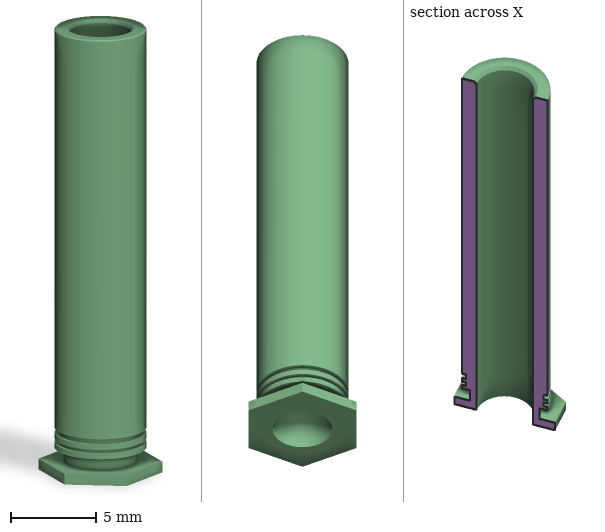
import cadquery as cq
import math

total_height = 27.0
hex_across_flats = 6.35
hex_thickness = 0.65

body_diameter = 5.4
groove_diameter = 4.89
neck_diameter = 4.37
bore_diameter = 3.5

lower_ring_bottom = 1.45
ring_thickness = 0.32
lower_groove_width = 0.25
upper_groove_width = 0.32

mouth_chamfer = 0.2
rim_chamfer = 0.067


def cylinder(diameter, bottom, top):
    """Solid cylinder on the Z axis between two heights."""
    return cq.Workplane("XY").workplane(offset=bottom).circle(diameter / 2).extrude(top - bottom)


hex_across_corners = hex_across_flats / math.cos(math.pi / 6)
head = cq.Workplane("XY").polygon(6, hex_across_corners).extrude(hex_thickness)

lower_ring_top = lower_ring_bottom + ring_thickness
upper_ring_bottom = lower_ring_top + lower_groove_width
upper_ring_top = upper_ring_bottom + ring_thickness
barrel_bottom = upper_ring_top + upper_groove_width

neck = cylinder(neck_diameter, hex_thickness, lower_ring_bottom)
groove_core = cylinder(groove_diameter, lower_ring_bottom, barrel_bottom)
lower_ring = cylinder(body_diameter, lower_ring_bottom, lower_ring_top)
upper_ring = cylinder(body_diameter, upper_ring_bottom, upper_ring_top)
barrel = cylinder(body_diameter, barrel_bottom, total_height).faces(">Z").chamfer(rim_chamfer)

solid_body = head.union(neck).union(groove_core).union(lower_ring).union(upper_ring).union(barrel)

bore = cylinder(bore_diameter, 0, total_height)
mouth = (
    cq.Workplane("XY")
    .workplane(offset=total_height)
    .circle(bore_diameter / 2 + mouth_chamfer)
    .workplane(offset=-mouth_chamfer)
    .circle(bore_diameter / 2)
    .loft()
)

result = solid_body.cut(bore).cut(mouth)